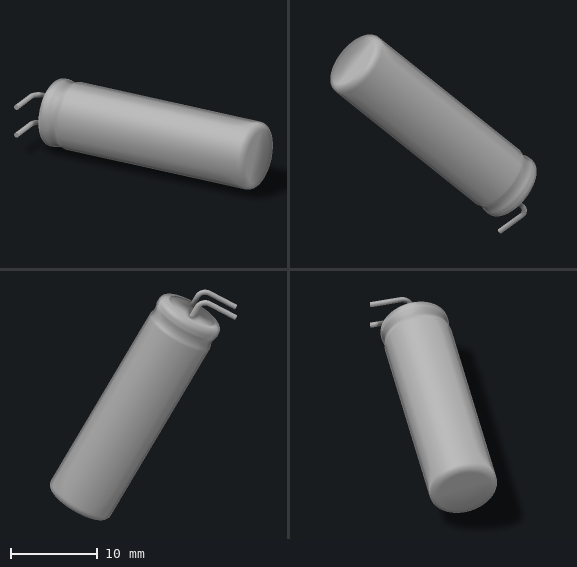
import cadquery as cq
import math

overall_length = 29.6
can_radius = 8.0 / 2
lead_reach_x = 2.6
can_length = overall_length - lead_reach_x

lead_end_round = 0.75
closed_end_round = 0.8
recess_radius = 6.0 / 2
recess_depth = 0.1

groove_center_x = 1.98
groove_half_width = 0.9
groove_hollow_half_width = 0.62
groove_depth = 0.18

lead_radius = 0.6 / 2
lead_spacing = 3.5
lead_bend_radius = 1.0
lead_reach_y = 4.5
lead_embedment = 0.6


def rounded_corner_middle(center_x, center_r, radius, x_side):
    """Point halfway round an end corner; x_side is -1 or +1."""
    offset = radius * math.sqrt(0.5)
    return (center_x + x_side * offset, center_r + offset)


def make_can():
    joint_angle = 2 * math.atan(groove_depth / groove_half_width)
    blend_radius = (groove_half_width - groove_hollow_half_width) / math.sin(joint_angle)
    joint_r = can_radius - blend_radius * (1 - math.cos(joint_angle))
    blend_middle_offset = groove_half_width - blend_radius * math.sin(joint_angle / 2)
    blend_middle_r = can_radius - blend_radius * (1 - math.cos(joint_angle / 2))

    lead_end_middle = rounded_corner_middle(lead_end_round, can_radius - lead_end_round, lead_end_round, -1)
    closed_end_middle = rounded_corner_middle(
        can_length - closed_end_round, can_radius - closed_end_round, closed_end_round, 1
    )

    half_profile = (
        cq.Workplane("XY")
        .moveTo(recess_depth, 0)
        .lineTo(recess_depth, recess_radius)
        .lineTo(0, recess_radius)
        .lineTo(0, can_radius - lead_end_round)
        .threePointArc(lead_end_middle, (lead_end_round, can_radius))
        .lineTo(groove_center_x - groove_half_width, can_radius)
        .threePointArc(
            (groove_center_x - blend_middle_offset, blend_middle_r),
            (groove_center_x - groove_hollow_half_width, joint_r),
        )
        .threePointArc(
            (groove_center_x, can_radius - groove_depth),
            (groove_center_x + groove_hollow_half_width, joint_r),
        )
        .threePointArc(
            (groove_center_x + blend_middle_offset, blend_middle_r),
            (groove_center_x + groove_half_width, can_radius),
        )
        .lineTo(can_length - closed_end_round, can_radius)
        .threePointArc(closed_end_middle, (can_length, can_radius - closed_end_round))
        .lineTo(can_length, 0)
        .close()
    )
    return half_profile.revolve(360, (0, 0, 0), (1, 0, 0))


def make_lead(z):
    """Wire leaving the can along -X, then bent toward -Y."""
    start_x = recess_depth + lead_embedment
    tip_x = lead_radius - lead_reach_x
    bend_center_x = tip_x + lead_bend_radius
    bend_offset = lead_bend_radius * math.sqrt(0.5)
    path = (
        cq.Workplane("XY", origin=(0, 0, z))
        .moveTo(start_x, 0)
        .lineTo(bend_center_x, 0)
        .threePointArc(
            (bend_center_x - bend_offset, bend_offset - lead_bend_radius),
            (tip_x, -lead_bend_radius),
        )
        .lineTo(tip_x, -lead_reach_y)
    )
    return cq.Workplane("YZ", origin=(start_x, 0, z)).circle(lead_radius).sweep(path)


result = make_can()
for side in (-1, 1):
    result = result.union(make_lead(side * lead_spacing / 2))